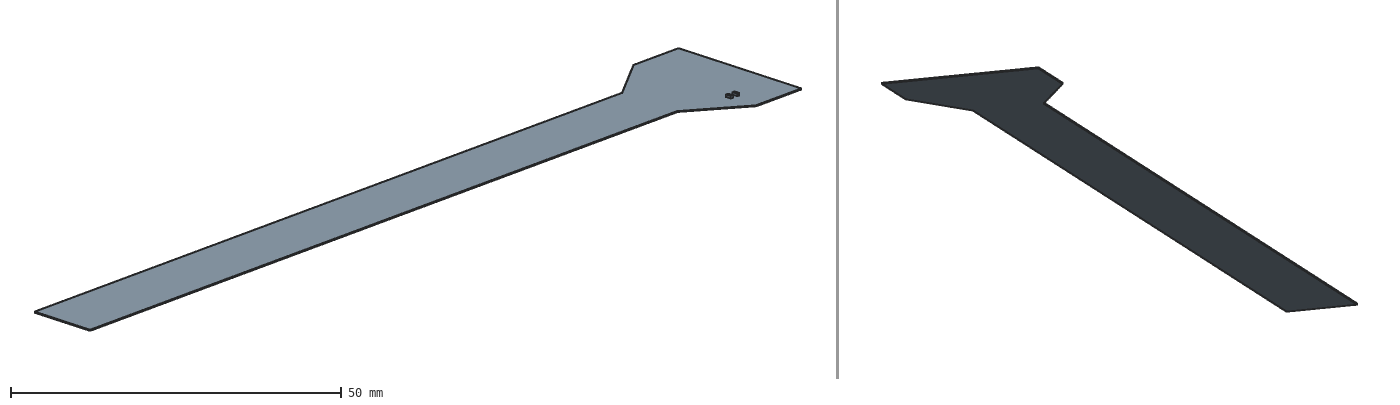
import cadquery as cq

total_length = 150.0
head_width = 25.5
head_length = 10.0
taper_length = 10.0
strip_width = 11.5
sheet_thickness = 0.2

overall_height = 0.6
chip_length = 1.0
chip_width = 0.5
chip_height = overall_height - sheet_thickness
chip_x = 7.5
chip_pitch = 1.4
chip_pair_from_head_end = 9.6
chip_count = 2

head_end_y = total_length / 2


def make_sheet():
    """Head, taper and strip as one flat plate with its underside at Z = 0."""
    strip_end_y = head_end_y - total_length
    shoulder_y = head_end_y - head_length
    neck_y = shoulder_y - taper_length
    half_outline = [
        (0, head_end_y),
        (head_width / 2, head_end_y),
        (head_width / 2, shoulder_y),
        (strip_width / 2, neck_y),
        (strip_width / 2, strip_end_y),
        (0, strip_end_y),
    ]
    return cq.Workplane("XY").polyline(half_outline).mirrorY().extrude(sheet_thickness)


def make_chip(center_y):
    """Rectangular chip resting on the top face of the sheet."""
    return (
        cq.Workplane("XY", origin=(chip_x, center_y, sheet_thickness))
        .rect(chip_length, chip_width)
        .extrude(chip_height)
    )


sheet = make_sheet()

chips = []
pair_center_y = head_end_y - chip_pair_from_head_end
for index in range(chip_count):
    offset_y = (index - (chip_count - 1) / 2) * chip_pitch
    chips.append(make_chip(pair_center_y + offset_y))

result = cq.Compound.makeCompound([sheet.val(), *[chip.val() for chip in chips]])